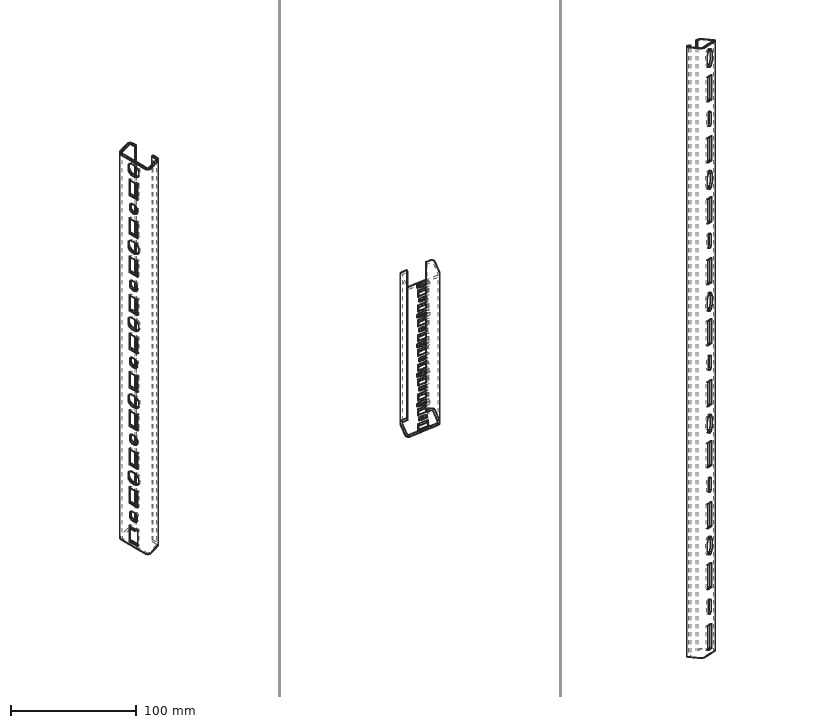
import cadquery as cq

length = 500.0
width = 30.0
depth = 15.0
thickness = 1.75
lip_gap = 16.5
outer_radius = 3.0
inner_radius = 1.0

opening_count = 20
opening_pitch = length / opening_count
top_margin = 11.0
large_slot_width = 10.5
large_slot_height = 15.0
small_slot_width = 7.0
small_slot_height = 12.0
window_width = 8.5
window_height = 20.0
openings_per_repeat = 4
small_slot_place = 2


def channel():
    """C-shaped rail standing along Z, web on the -Y side and lips on the +Y side."""
    inner_width = width - 2 * thickness
    inner_depth = depth - 2 * thickness
    outside = cq.Workplane("XY").rect(width, depth).extrude(length)
    outside = outside.edges("|Z").fillet(outer_radius)
    inside = cq.Workplane("XY").rect(inner_width, inner_depth).extrude(length)
    inside = inside.edges("|Z").fillet(inner_radius)
    mouth = cq.Workplane("XY").center(0, depth / 2).rect(lip_gap, depth).extrude(length)
    return outside.cut(inside).cut(mouth)


def web_plane(z):
    """Workplane on the outer web face, centred at height z."""
    return cq.Workplane("XZ", origin=(0, -depth / 2, z))


def round_slot(z, slot_width, slot_height):
    """Cutter through the web for an upright slot with semicircular ends."""
    return web_plane(z).slot2D(slot_height, slot_width, 90).extrude(-thickness)


def window(z):
    """Cutter through the web for an upright rectangular opening."""
    return web_plane(z).rect(window_width, window_height).extrude(-thickness)


def opening(index):
    """Cutter for one opening, counted from the top end of the rail."""
    z = length - top_margin - index * opening_pitch
    place = index % openings_per_repeat
    if place == 0:
        return round_slot(z, large_slot_width, large_slot_height)
    if place == small_slot_place:
        return round_slot(z, small_slot_width, small_slot_height)
    return window(z)


result = channel()
for opening_index in range(opening_count):
    result = result.cut(opening(opening_index))